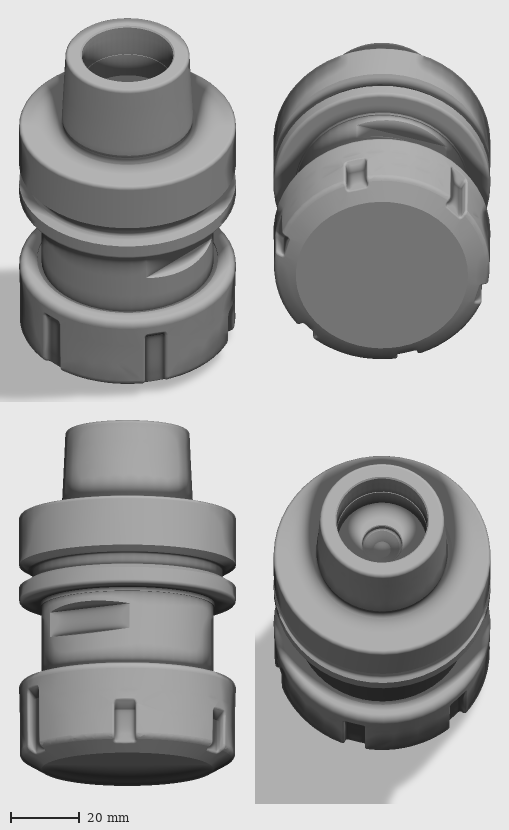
import cadquery as cq
import math


total_height = 100.0
flange_top = 75.0
flange_bottom = 49.0
nut_height = 25.8

shank_top_radius = 18.0
shank_base_radius = 19.1
shank_base_height = 2.3
shank_edge_fillet = 1.0
undercut_neck_radius = 18.8
undercut_round = 0.8
undercut_depth = 0.2
undercut_neck_top = 1.3
undercut_rim_radius = 20.5

flange_radius = 31.5
flange_edge_fillet = 1.0
groove_center = 57.0
groove_root_radius = 27.6
groove_root_width = 3.6
groove_root_fillet = 0.4
groove_flank_radius = 28.9
flank_angle = 30
flank_rise = (flange_radius - groove_flank_radius) * math.tan(math.radians(flank_angle))

body_radius = 25.0
collar_radius = 25.3
collar_height = 1.1

flat_distance = 21.0
flat_center = 40.6
flat_inner_height = 7.2
flat_mouth_height = 9.7

nut_radius = 31.5
nut_lower_radius = 31.3
nut_face_radius = 25.0
nut_edge_fillet = 2.0
nut_recess_radius = 26.3
nut_recess_depth = 0.5
nut_cone_angle = 30
nut_cone_rise = (nut_lower_radius - nut_face_radius) * math.tan(math.radians(nut_cone_angle))

slot_width = 6.1
slot_floor_radius = 28.7
slot_fillet = 0.6
tall_slot_top = 21.5
short_slot_top = 14.8
tall_slot_angles = (210, 270, 330)
short_slot_angles = (30, 90, 150)

bore_radius = 13.3
bore_chamfer = 0.4
bore_depth = 10.0
lower_bore_radius = 13.1
bore_floor = total_height - 17.5
pilot_radius = 5.8
pilot_chamfer = 0.25
pilot_depth = 2.0
cone_top_radius = 5.1
cone_bottom_radius = 2.5
cone_drop = 2.0

overrun = 3.0
select_margin = 0.1
wall_band = 1.0

arc_middle = 1 - math.sqrt(0.5)


def revolved(points):
    """Solid of revolution about Z from (radius, height) points."""
    return cq.Workplane("XZ").polyline(points).close().revolve(360, (0, 0), (0, 1))


def level_band(low, high, radius):
    """Selector for edges lying wholly between two heights and within a radius."""
    reach = radius + select_margin
    return cq.selectors.BoxSelector(
        (-reach, -reach, low - select_margin),
        (reach, reach, high + select_margin),
        boundingbox=True,
    )


def make_shank():
    base_top = flange_top + shank_base_height
    shank = revolved([
        (0, flange_top),
        (shank_base_radius, flange_top),
        (shank_base_radius, base_top),
        (shank_top_radius, total_height),
        (0, total_height),
    ])
    return shank.faces(">Z").edges().fillet(shank_edge_fillet)


def make_flange():
    groove_top = groove_center + groove_root_width / 2
    groove_bottom = groove_center - groove_root_width / 2
    flange = revolved([
        (0, flange_bottom),
        (flange_radius, flange_bottom),
        (flange_radius, groove_bottom - flank_rise),
        (groove_flank_radius, groove_bottom),
        (groove_root_radius, groove_bottom),
        (groove_root_radius, groove_top),
        (groove_flank_radius, groove_top),
        (flange_radius, groove_top + flank_rise),
        (flange_radius, flange_top),
        (0, flange_top),
    ])
    flange = flange.faces("<Z or >Z").edges().fillet(flange_edge_fillet)
    root_edges = level_band(groove_bottom, groove_top, groove_root_radius)
    return flange.edges(root_edges).edges("%CIRCLE").fillet(groove_root_fillet)


def make_undercut():
    """Relief groove in the corner between shank and flange."""
    floor = flange_top - undercut_depth
    round_inset = undercut_round * arc_middle
    return (
        cq.Workplane("XZ")
        .moveTo(shank_base_radius, flange_top + shank_base_height)
        .lineTo(undercut_neck_radius, flange_top + undercut_neck_top)
        .lineTo(undercut_neck_radius, floor + undercut_round)
        .threePointArc(
            (undercut_neck_radius + round_inset, floor + round_inset),
            (undercut_neck_radius + undercut_round, floor),
        )
        .lineTo(undercut_rim_radius, flange_top)
        .lineTo(undercut_rim_radius, flange_top + shank_base_height)
        .close()
        .revolve(360, (0, 0), (0, 1))
    )


def make_body():
    collar_bottom = flange_bottom - collar_height
    body = revolved([
        (0, 0),
        (nut_face_radius, 0),
        (body_radius, collar_bottom),
        (collar_radius, collar_bottom),
        (collar_radius, flange_bottom),
        (0, flange_bottom),
    ])
    for side in (-1, 1):
        flat = (
            cq.Workplane("XZ")
            .moveTo(side * flat_distance, flat_center - flat_inner_height / 2)
            .lineTo(side * body_radius, flat_center - flat_mouth_height / 2)
            .lineTo(side * nut_radius, flat_center - flat_mouth_height / 2)
            .lineTo(side * nut_radius, flat_center + flat_mouth_height / 2)
            .lineTo(side * body_radius, flat_center + flat_mouth_height / 2)
            .lineTo(side * flat_distance, flat_center + flat_inner_height / 2)
            .close()
            .extrude(body_radius, both=True)
        )
        body = body.cut(flat)
    return body


def make_slot_cutter(top):
    """Slot open at the nut face, with a 45 degree roof and rounded corners."""
    outside = nut_radius + overrun
    roof_low = top - (nut_radius - slot_floor_radius)
    roof_high = top + (outside - nut_radius)
    cutter = (
        cq.Workplane("XZ")
        .polyline([
            (slot_floor_radius, -overrun),
            (outside, -overrun),
            (outside, roof_high),
            (slot_floor_radius, roof_low),
        ])
        .close()
        .extrude(slot_width / 2, both=True)
    )
    return cutter.faces("<X or >Z").edges("not |Y").fillet(slot_fillet)


def cut_slot(nut, top, angle):
    """Cut one slot and round the edges where its walls and roof meet the nut side."""
    nut = nut.rotate((0, 0, 0), (0, 0, 1), -angle).cut(make_slot_cutter(top))
    wall_bottom = nut_cone_rise + nut_edge_fillet
    wall_rims = cq.selectors.BoxSelector(
        (nut_lower_radius - wall_band, -slot_width, wall_bottom),
        (nut_radius + wall_band, slot_width, top),
    )
    nut = nut.edges(wall_rims).edges("not %LINE").fillet(slot_fillet)
    return nut.rotate((0, 0, 0), (0, 0, 1), angle)


def make_nut():
    round_start = nut_height - nut_edge_fillet
    round_inset = nut_edge_fillet * arc_middle
    nut = (
        cq.Workplane("XZ")
        .lineTo(nut_face_radius, 0)
        .lineTo(nut_lower_radius, nut_cone_rise)
        .lineTo(nut_radius, round_start)
        .threePointArc(
            (nut_radius - round_inset, nut_height - round_inset),
            (nut_radius - nut_edge_fillet, nut_height),
        )
        .lineTo(0, nut_height)
        .close()
        .revolve(360, (0, 0), (0, 1))
    )
    lower_rim = level_band(nut_cone_rise, nut_cone_rise, nut_lower_radius)
    nut = nut.edges(lower_rim).edges("%CIRCLE").fillet(nut_edge_fillet)
    for angle in tall_slot_angles:
        nut = cut_slot(nut, tall_slot_top, angle)
    for angle in short_slot_angles:
        nut = cut_slot(nut, short_slot_top, angle)
    recess = (
        cq.Workplane("XY", origin=(0, 0, nut_height))
        .circle(nut_recess_radius)
        .extrude(-nut_recess_depth)
    )
    return nut.cut(recess)


def cut_bores(holder):
    """Stepped shank bore with a smaller conical-bottomed pilot hole."""
    return holder.cut(revolved([
        (0, total_height),
        (bore_radius + bore_chamfer, total_height),
        (bore_radius, total_height - bore_chamfer),
        (bore_radius, total_height - bore_depth),
        (lower_bore_radius, total_height - bore_depth),
        (lower_bore_radius, bore_floor),
        (pilot_radius + pilot_chamfer, bore_floor),
        (pilot_radius, bore_floor - pilot_chamfer),
        (pilot_radius, bore_floor - pilot_depth),
        (cone_top_radius, bore_floor - pilot_depth),
        (cone_bottom_radius, bore_floor - pilot_depth - cone_drop),
        (0, bore_floor - pilot_depth - cone_drop),
    ]))


holder = make_nut().union(make_body()).union(make_flange()).union(make_shank())
result = cut_bores(holder.cut(make_undercut())).solids()